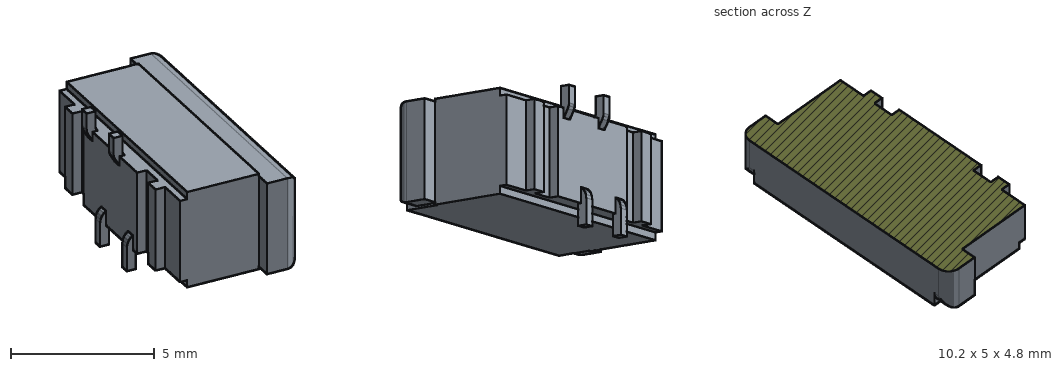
import cadquery as cq
import math

overall_depth = 5.0
rear_y = overall_depth / 2
pin_front_y = -overall_depth / 2

flange_width = 10.2
flange_height = 3.6
flange_depth = 1.3
flange_fillet = 0.5

body_width = 9.0
body_height = 3.78
body_depth = 4.12
stage_height = 3.22
stage_depth = 4.4

tongue_side_inset = 0.1
tongue_width = body_width - 2 * tongue_side_inset

pad_width = 4.0
pad_depth = 4.77
rib_width = 0.55
rib_center_x = 3.1

pin_width = 0.35
pin_thickness = 0.35
pin_span = 4.8
pin_tip_z = pin_span / 2
bend_facet_angle = 15
upper_pin_centers = (-1.5, 0.5)
lower_pin_centers = (-0.5, 1.5)
upper_bend_z = 1.755
upper_bend_radius = 0.41
upper_bend_angle = 30
upper_root_length = 0.5
lower_bend_z = 1.455
lower_bend_radius = 0.5
lower_bend_angle = 90
lower_root_length = 0.2


def block(width, height, back_depth, front_depth, center_x=0.0, center_z=0.0):
    """Box spanning two depths measured from the rear face."""
    center_y = rear_y - (back_depth + front_depth) / 2
    return cq.Workplane("XY").box(width, front_depth - back_depth, height).translate(
        (center_x, center_y, center_z)
    )


def make_flange():
    """Rear plate with its whole rear rim rounded."""
    plate = block(flange_width, flange_height, 0, flange_depth)
    return plate.faces(">Y").edges().fillet(flange_fillet)


def make_body():
    """Main block in front of the flange, with the lower stage running through it."""
    body = block(body_width, body_height, flange_depth, body_depth)
    stage = block(body_width, stage_height, flange_depth, stage_depth)
    return body.union(stage)


def make_tongue():
    """Square-edged strip that fills the rounded bottom rear edge of the flange."""
    bottom_z = -body_height / 2
    top_z = -flange_height / 2 + flange_fillet
    thickness = top_z - bottom_z
    return block(tongue_width, thickness, 0, flange_depth, center_z=(top_z + bottom_z) / 2)


def make_front_raised(width, center_x):
    """Strip as tall as the stage, raised from it to the pad depth."""
    return block(width, stage_height, flange_depth, pad_depth, center_x)


def bend_points(center_y, center_z, radius, bend_angle):
    """Corner points of a faceted bend, from the straight tip toward the root."""
    facet_count = round(bend_angle / bend_facet_angle)
    angles = [math.radians(bend_facet_angle * step) for step in range(facet_count + 1)]
    return [
        (center_y - radius * math.cos(angle), center_z - radius * math.sin(angle))
        for angle in angles
    ]


def make_pin(center_x, bend_z, bend_radius, bend_angle, root_length):
    """Pin pointing up: straight tip, one faceted bend, then a root running into the body."""
    center_y = pin_front_y + bend_radius
    outer_bend = bend_points(center_y, bend_z, bend_radius, bend_angle)
    inner_bend = bend_points(center_y, bend_z, bend_radius - pin_thickness, bend_angle)
    root_y = root_length * math.sin(math.radians(bend_angle))
    root_z = -root_length * math.cos(math.radians(bend_angle))
    outer_root = (outer_bend[-1][0] + root_y, outer_bend[-1][1] + root_z)
    inner_root = (inner_bend[-1][0] + root_y, inner_bend[-1][1] + root_z)

    outer_side = [(pin_front_y, pin_tip_z), *outer_bend, outer_root]
    inner_side = [inner_root, *reversed(inner_bend), (pin_front_y + pin_thickness, pin_tip_z)]
    profile = cq.Workplane("YZ", origin=(center_x - pin_width / 2, 0, 0))
    return profile.polyline(outer_side + inner_side).close().extrude(pin_width)


result = make_flange().union(make_body()).union(make_tongue())

result = result.union(make_front_raised(pad_width, 0.0))
for side in (-1, 1):
    result = result.union(make_front_raised(rib_width, side * rib_center_x))

for pin_x in upper_pin_centers:
    upper_pin = make_pin(pin_x, upper_bend_z, upper_bend_radius, upper_bend_angle, upper_root_length)
    result = result.union(upper_pin)

for pin_x in lower_pin_centers:
    lower_pin = make_pin(pin_x, lower_bend_z, lower_bend_radius, lower_bend_angle, lower_root_length)
    result = result.union(lower_pin.mirror("XY"))